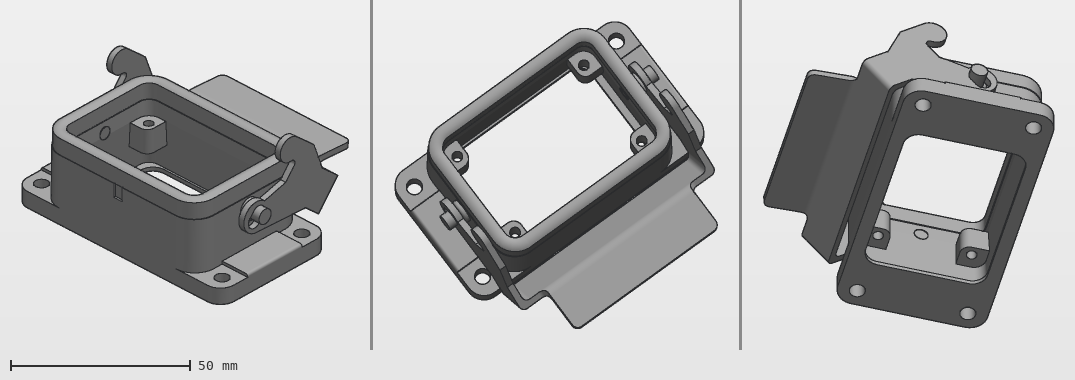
import cadquery as cq
import math

BASE_LENGTH = 80.0
BASE_WIDTH = 43.2
BASE_TOP = 5.45
BASE_CORNER_RADIUS = 5.2
FLOOR_THICKNESS = 1.4
FLOOR_OPENING = (48.8, 35.2)
FLOOR_OPENING_RADIUS = 4.4

MOUNT_HOLE_DIAMETER = 4.5
MOUNT_HOLE_SPACING = (69.9, 31.85)

PAD_WIDTH = 21.8
PAD_TOP = 6.4
PAD_EDGE_RADIUS = 0.9

WALL_TOP = 22.9
WALL_FOOT = (60.2, BASE_WIDTH)
WALL_HEAD = (59.85, 43.05)
WALL_CORNER_RADIUS = 7.45
CAVITY_PARTING_Z = 17.6
CAVITY_FOOT = (53.3, 36.65)
CAVITY_WAIST = (51.7, 35.05)
CAVITY_HEAD = (52.2, 35.5)
CAVITY_LOWER_RADIUS = 3.5
CAVITY_UPPER_RADIUS = 4.0

RIM_LENGTH = 59.4
RIM_WIDTH = 42.8
RIM_THICKNESS = 3.9
RIM_BAND_TOP = 28.3
RIM_TOP = 29.0

NOTCH_WIDTH = 3.1
NOTCH_BOTTOM = 18.3
NOTCH_DEPTH = 0.65

BOSS_TOP = CAVITY_PARTING_Z
BOSS_BOTTOM = 9.6
BOSS_HOLE_DIAMETER = 3.0
BOSS_HOLE_SPACING = (43.85, 27.0)
BOSS_FACE = (19.2, 10.1)
BOSS_CORNER_RADIUS = 2.7
BOSS_WALL_OVERLAP = 0.4

PIN_DIAMETER = 4.8
PIN_Z = 18.8
PIN_REACH = 36.2
PIN_SHANK_DIAMETER = 4.0
COLLAR_DIAMETER = 7.0
COLLAR_EDGE_RADIUS = 1.0
PIN_INNER_END = 25.8

LEVER_WIDTH = 67.2
SHEET = 2.0
SWING_ANGLE = 40.0
EYE_RADIUS = 5.05
SLOT_TRAVEL = 2.4
NOSE_RADIUS = 4.0
NOSE_V = 21.0
SHOULDER_U = 9.05
THROAT_U = 5.05
THROAT_V = 12.2
THROAT_RADIUS = 1.2
NECK_OUTER_U = 17.7
NECK_INNER_U = 18.8
FLANGE_U = 26.9
FLANGE_BOTTOM_V = 8.0
FLANGE_TOP_V = 20.0
FLANGE_OUTER_RADIUS = 1.8
FLANGE_INNER_RADIUS = 1.85
TONGUE_WIDTH = 49.8
TONGUE_ANGLE = 36.7
TONGUE_LENGTH = 12.1
TONGUE_BEND_RADIUS = 1.5
TONGUE_ROOT_RADIUS = 2.0
TONGUE_CORNER_RADIUS = 1.9

SIDES = (-1, 1)
CORNERS = [(sx, sy) for sx in SIDES for sy in SIDES]


def polar(centre, radius, degrees):
    """Point at a radius and angle from a centre."""
    angle = math.radians(degrees)
    return (centre[0] + radius * math.cos(angle), centre[1] + radius * math.sin(angle))


def rounded_block(size, radius, bottom, top):
    block = cq.Workplane("XY", origin=(0, 0, bottom)).rect(*size).extrude(top - bottom)
    return block.edges("|Z").fillet(radius)


def rounded_frustum(lower, upper, radius, bottom, top):
    """Loft between two rounded rectangles with equal corner radii."""
    foot = cq.Sketch().rect(*lower).vertices().fillet(radius)
    rise = cq.Location(cq.Vector(0, 0, top - bottom))
    head = cq.Sketch().rect(*upper).vertices().fillet(radius).moved(rise)
    return cq.Workplane("XY", origin=(0, 0, bottom)).placeSketch(foot, head).loft()


def base_plate():
    plate = rounded_block((BASE_LENGTH, BASE_WIDTH), BASE_CORNER_RADIUS, 0, BASE_TOP)
    pad = (
        cq.Workplane("XY")
        .box(BASE_LENGTH, PAD_WIDTH, PAD_TOP, centered=(True, True, False))
        .edges("|Y and >Z")
        .fillet(PAD_EDGE_RADIUS)
    )
    holes = (
        cq.Workplane("XY")
        .rect(*MOUNT_HOLE_SPACING, forConstruction=True)
        .vertices()
        .circle(MOUNT_HOLE_DIAMETER / 2)
        .extrude(BASE_TOP)
    )
    return plate.union(pad).cut(holes)


def cavity():
    opening = rounded_block(FLOOR_OPENING, FLOOR_OPENING_RADIUS, 0, BASE_TOP)
    lower = rounded_frustum(CAVITY_FOOT, CAVITY_WAIST, CAVITY_LOWER_RADIUS, FLOOR_THICKNESS, CAVITY_PARTING_Z)
    upper = rounded_frustum(CAVITY_WAIST, CAVITY_HEAD, CAVITY_UPPER_RADIUS, CAVITY_PARTING_Z, WALL_TOP)
    return opening.union(lower).union(upper)


def rim():
    inner_size = (RIM_LENGTH - 2 * RIM_THICKNESS, RIM_WIDTH - 2 * RIM_THICKNESS)
    inner_radius = WALL_CORNER_RADIUS - RIM_THICKNESS
    band = rounded_block((RIM_LENGTH, RIM_WIDTH), WALL_CORNER_RADIUS, WALL_TOP, RIM_BAND_TOP)
    band = band.cut(rounded_block(inner_size, inner_radius, WALL_TOP, RIM_BAND_TOP))
    middle_size = (RIM_LENGTH - RIM_THICKNESS, RIM_WIDTH - RIM_THICKNESS)
    middle_radius = WALL_CORNER_RADIUS - RIM_THICKNESS / 2
    path = rounded_block(middle_size, middle_radius, WALL_TOP, RIM_BAND_TOP).faces(">Z").wires()
    crown = (
        cq.Workplane("YZ")
        .moveTo(-RIM_WIDTH / 2, RIM_BAND_TOP)
        .threePointArc((-middle_size[1] / 2, RIM_TOP), (-inner_size[1] / 2, RIM_BAND_TOP))
        .close()
        .sweep(path)
    )
    return band.union(crown)


def wall_notch():
    return cq.Workplane("XY", origin=(0, -WALL_HEAD[1] / 2, NOTCH_BOTTOM)).box(
        NOTCH_WIDTH, 2 * NOTCH_DEPTH, WALL_TOP - NOTCH_BOTTOM, centered=(True, True, False)
    )


def screw_boss(side_x, side_y):
    """Boss that runs into the walls of one cavity corner; its outer rounding is buried in the wall."""
    length = CAVITY_FOOT[0] / 2 + BOSS_WALL_OVERLAP - BOSS_FACE[0]
    width = CAVITY_FOOT[1] / 2 + BOSS_WALL_OVERLAP - BOSS_FACE[1]
    block = (
        cq.Workplane("XY", origin=(BOSS_FACE[0], BOSS_FACE[1], BOSS_BOTTOM))
        .box(length, width, BOSS_TOP - BOSS_BOTTOM, centered=False)
        .edges("|Z and <X and <Y")
        .fillet(BOSS_CORNER_RADIUS)
        .edges("|Z and >X and >Y")
        .fillet(BOSS_CORNER_RADIUS)
    )
    hole = (
        cq.Workplane("XY", origin=(BOSS_HOLE_SPACING[0] / 2, BOSS_HOLE_SPACING[1] / 2, BOSS_BOTTOM))
        .circle(BOSS_HOLE_DIAMETER / 2)
        .extrude(BOSS_TOP - BOSS_BOTTOM)
    )
    boss = block.cut(hole)
    if side_x < 0:
        boss = boss.mirror("YZ")
    if side_y < 0:
        boss = boss.mirror("XZ")
    return boss


def pivot_pin(side):
    """Pin through one end wall, with a collar that spaces the lever off the wall."""
    collar_face = LEVER_WIDTH / 2 - SHEET

    def cylinder(diameter, start, end):
        return cq.Workplane("YZ", origin=(start, 0, PIN_Z)).circle(diameter / 2).extrude(end - start)

    wall_middle = (PIN_INNER_END + RIM_LENGTH / 2) / 2
    collar = cylinder(COLLAR_DIAMETER, wall_middle, collar_face).faces(">X").fillet(COLLAR_EDGE_RADIUS)
    pin = (
        cylinder(PIN_DIAMETER, wall_middle, PIN_REACH)
        .union(collar)
        .union(cylinder(PIN_SHANK_DIAMETER, PIN_INNER_END, collar_face))
    )
    return pin if side > 0 else pin.mirror("YZ")


def make_housing():
    walls = rounded_frustum(WALL_FOOT, WALL_HEAD, WALL_CORNER_RADIUS, BASE_TOP, WALL_TOP)
    body = base_plate().union(walls).cut(cavity()).cut(wall_notch()).union(rim())
    for side_x, side_y in CORNERS:
        body = body.union(screw_boss(side_x, side_y))
    for side in SIDES:
        body = body.union(pivot_pin(side))
    return body


def cheek_block():
    """Solid with the side outline of the cheeks, as wide as the lever."""
    corner_distance = math.hypot(NECK_INNER_U, FLANGE_BOTTOM_V)
    corner_angle = math.degrees(math.atan2(FLANGE_BOTTOM_V, NECK_INNER_U))
    tangent_angle = corner_angle - math.degrees(math.acos(EYE_RADIUS / corner_distance))
    nose = (0, NOSE_V)
    throat_u = THROAT_U - THROAT_RADIUS
    nose_to_throat = NOSE_RADIUS + THROAT_RADIUS
    throat = (throat_u, NOSE_V - math.sqrt(nose_to_throat**2 - throat_u**2))
    throat_angle = math.degrees(math.atan2(throat[1] - nose[1], throat[0]))
    return (
        cq.Workplane("YZ", origin=(-LEVER_WIDTH / 2, 0, 0))
        .moveTo(FLANGE_U, FLANGE_BOTTOM_V)
        .lineTo(NECK_INNER_U, FLANGE_BOTTOM_V)
        .lineTo(*polar((0, 0), EYE_RADIUS, tangent_angle))
        .threePointArc((-EYE_RADIUS, 0), (0, EYE_RADIUS))
        .lineTo(THROAT_U, THROAT_V)
        .lineTo(THROAT_U, throat[1])
        .threePointArc(
            polar(throat, THROAT_RADIUS, (throat_angle + 180) / 2), polar(nose, NOSE_RADIUS, throat_angle)
        )
        .threePointArc((-NOSE_RADIUS, NOSE_V), (0, NOSE_V + NOSE_RADIUS))
        .lineTo(SHOULDER_U, NOSE_V + NOSE_RADIUS)
        .lineTo(NECK_OUTER_U, FLANGE_TOP_V)
        .lineTo(FLANGE_U, FLANGE_TOP_V)
        .close()
        .extrude(LEVER_WIDTH)
    )


def pivot_slot():
    return (
        cq.Workplane("YZ", origin=(-LEVER_WIDTH / 2, 0, 0))
        .slot2D(SLOT_TRAVEL + PIN_DIAMETER, PIN_DIAMETER, 90)
        .extrude(LEVER_WIDTH)
    )


def space_between_cheeks():
    """Block that leaves one sheet thickness at each side and at the flange."""
    depth = FLANGE_U - SHEET + EYE_RADIUS
    height = NOSE_V + NOSE_RADIUS + EYE_RADIUS
    return (
        cq.Workplane("XY", origin=(0, FLANGE_U - SHEET - depth / 2, -EYE_RADIUS))
        .box(LEVER_WIDTH - 2 * SHEET, depth, height, centered=(True, True, False))
        .edges("|Z and >Y")
        .fillet(FLANGE_INNER_RADIUS)
    )


def tongue():
    """Strip bent outward from the top of the flange, with flared roots."""
    bend = (FLANGE_U + TONGUE_BEND_RADIUS, FLANGE_TOP_V)
    outer_radius = TONGUE_BEND_RADIUS + SHEET
    end_angle = 90 + TONGUE_ANGLE
    middle_angle = (180 + end_angle) / 2
    outer_end = polar(bend, outer_radius, end_angle)
    inner_end = polar(bend, TONGUE_BEND_RADIUS, end_angle)
    blank_width = TONGUE_WIDTH + 2 * TONGUE_ROOT_RADIUS
    strip = (
        cq.Workplane("YZ", origin=(-blank_width / 2, 0, 0))
        .moveTo(FLANGE_U - SHEET, FLANGE_TOP_V)
        .threePointArc(polar(bend, outer_radius, middle_angle), outer_end)
        .lineTo(*polar(outer_end, TONGUE_LENGTH, TONGUE_ANGLE))
        .lineTo(*polar(inner_end, TONGUE_LENGTH, TONGUE_ANGLE))
        .lineTo(*inner_end)
        .threePointArc(polar(bend, TONGUE_BEND_RADIUS, middle_angle), (FLANGE_U, FLANGE_TOP_V))
        .close()
        .extrude(blank_width)
    )
    reach = FLANGE_U + 2 * TONGUE_LENGTH
    for side in SIDES:
        trim = (
            cq.Workplane("XZ")
            .moveTo(side * TONGUE_WIDTH / 2, FLANGE_TOP_V + 2 * TONGUE_LENGTH)
            .lineTo(side * TONGUE_WIDTH / 2, FLANGE_TOP_V + TONGUE_ROOT_RADIUS)
            .radiusArc((side * blank_width / 2, FLANGE_TOP_V), -side * TONGUE_ROOT_RADIUS)
            .lineTo(side * blank_width / 2, FLANGE_TOP_V + 2 * TONGUE_LENGTH)
            .close()
            .extrude(-reach)
        )
        strip = strip.cut(trim)
    through_sheet = cq.selectors.ParallelDirSelector(cq.Vector(0, *polar((0, 0), 1, end_angle)))
    return strip.edges(through_sheet).edges(">Y").fillet(TONGUE_CORNER_RADIUS)


def make_lever():
    body = (
        cheek_block()
        .edges("|Z and >Y")
        .fillet(FLANGE_OUTER_RADIUS)
        .cut(space_between_cheeks())
        .union(tongue())
        .cut(pivot_slot())
    )
    drop = SLOT_TRAVEL / 2
    swung = body.translate((0, 0, -drop)).rotate((0, 0, 0), (1, 0, 0), -SWING_ANGLE)
    return swung.translate((0, 0, PIN_Z))


housing = make_housing()
lever = make_lever()

result = cq.Compound.makeCompound([*housing.solids().vals(), *lever.solids().vals()])